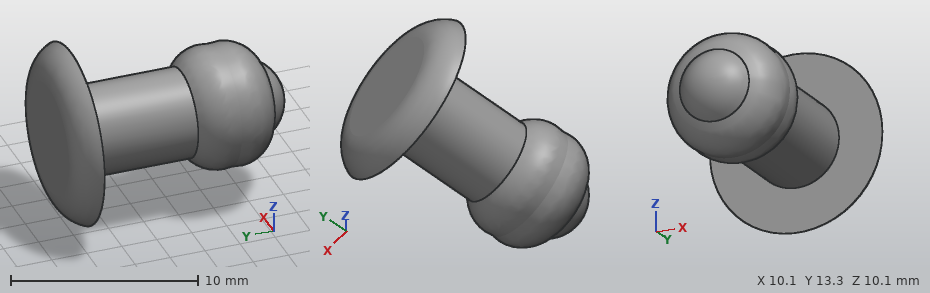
import cadquery as cq
import math

total_length = 13.32
head_diameter = 10.08
head_radius = head_diameter / 2
head_flat_radius = 3.13
head_thickness = 1.3
shaft_radius = 2.5
shaft_end = 7.6
bulb_seam = 9.78
bulb_end = 12.17
bulb_crest_radius = 3.41
bulb_seam_radius = 3.35
rear_crest = 9.34
front_crest = 10.23
nose_base_radius = 2.02

head_top = total_length / 2


def at(radius, distance):
    """Profile point at a radius and a distance from the flat of the head."""
    return (radius, head_top - distance)


rim_width = head_radius - head_flat_radius
rim_arc_radius = (rim_width**2 + head_thickness**2) / (2 * head_thickness)
rim_half_angle = math.atan2(head_thickness, rim_width)
rim_middle = at(
    head_flat_radius + rim_arc_radius * math.sin(rim_half_angle),
    rim_arc_radius * (1 - math.cos(rim_half_angle)),
)

nose_height = total_length - bulb_end
nose_sphere_radius = (nose_base_radius**2 + nose_height**2) / (2 * nose_height)
nose_half_angle = math.atan2(nose_height, nose_base_radius)
nose_middle = at(
    nose_sphere_radius * math.sin(nose_half_angle),
    total_length - nose_sphere_radius * (1 - math.cos(nose_half_angle)),
)

profile = (
    cq.Workplane("XY")
    .moveTo(*at(0, 0))
    .lineTo(*at(head_flat_radius, 0))
    .threePointArc(rim_middle, at(head_radius, head_thickness))
    .lineTo(*at(shaft_radius, head_thickness))
    .lineTo(*at(shaft_radius, shaft_end))
    .threePointArc(at(bulb_crest_radius, rear_crest), at(bulb_seam_radius, bulb_seam))
    .threePointArc(at(bulb_crest_radius, front_crest), at(nose_base_radius, bulb_end))
    .threePointArc(nose_middle, at(0, total_length))
    .close()
)

result = profile.revolve(360, (0, 0, 0), (0, 1, 0))